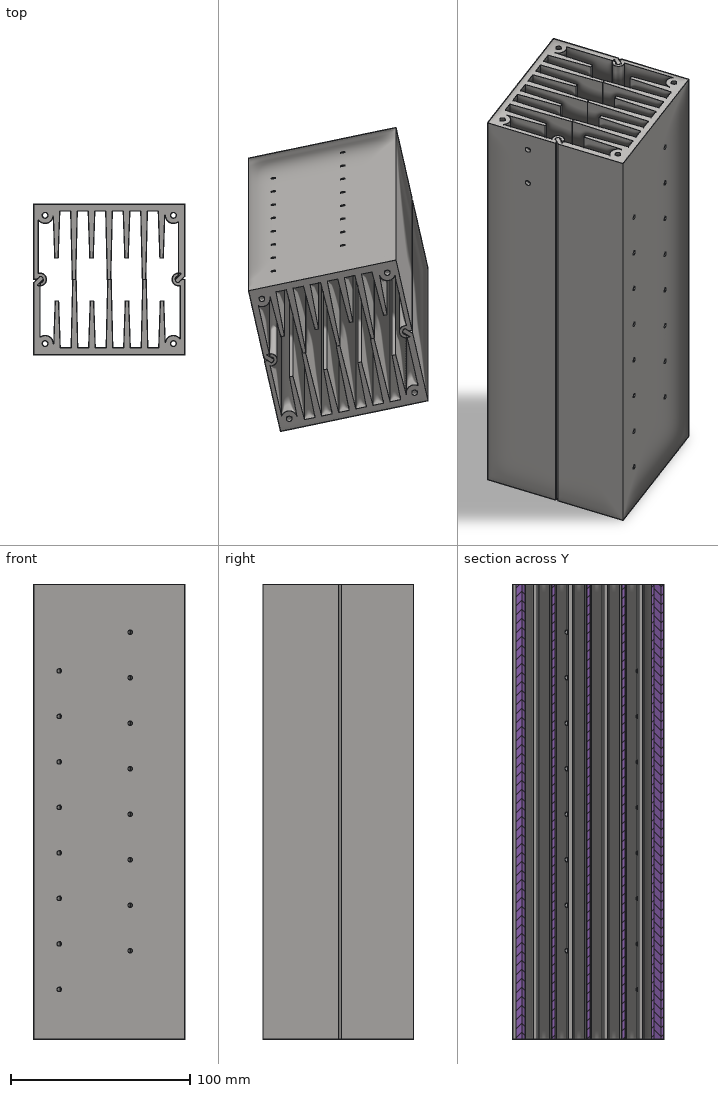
import cadquery as cq
import math

length = 254.0
width = 84.3
depth = 84.0

cavity_half_depth = 38.0
hook_wall = 2.5
tongue_wall = 3.5
outer_x = width / 2
outer_y = depth / 2

joint_x = outer_x - tongue_wall
socket_radius = 1.8
shoulder_width = 1.5
hook_radius = 3.5

fin_count = 7
fin_span = 58.7
fin_pitch = fin_span / (fin_count - 1)
fin_shift = -0.13
fin_root_width = 3.8
fin_tip_width = 1.98
short_fin_tip_y = 12.0

boss_offset = 35.8
boss_radius = 4.5
screw_hole_diameter = 3.0

front_hole_diameter = 2.46
front_hole_count = 8
front_hole_pitch = 25.5
front_row_x = (-28.0, 11.7)
front_row_middle_z = (-10.2, 11.5)

side_hole_diameter = 3.0
side_hole_y = 17.0
side_hole_depths_from_top = (10.7, 34.3)


def prism(sketch):
    """Extrude a closed XY outline over the full length, centred on Z = 0."""
    return sketch.extrude(length / 2, both=True)


def block(x_min, x_max, y_min, y_max):
    """Full-length block between the given X and Y limits."""
    centre = ((x_min + x_max) / 2, (y_min + y_max) / 2)
    return prism(cq.Workplane("XY").center(*centre).rect(x_max - x_min, y_max - y_min))


def cylinder(x, y, radius):
    """Full-length round bar along Z."""
    return prism(cq.Workplane("XY").center(x, y).circle(radius))


def channel():
    """U-shaped wall of one half: back wall and two side walls down to Y = 0."""
    outside = block(-outer_x, outer_x, 0, outer_y)
    inside = block(-outer_x + hook_wall, outer_x - tongue_wall, 0, cavity_half_depth)
    return outside.cut(inside)


def socket():
    """Cavity of the hook: round inside, flat along the slanted face of the mating tongue."""
    r = socket_radius
    outline = (
        cq.Workplane("XY")
        .center(-joint_x, 0)
        .moveTo(-r, 0)
        .lineTo(0, r)
        .threePointArc((r, 0), (0, -r))
        .close()
    )
    return prism(outline)


def hook():
    """Round hook on the left side wall, open towards the lower left."""
    bar = cylinder(-joint_x, 0, hook_radius)
    open_quarter = block(-joint_x - hook_radius, -joint_x, -hook_radius, 0)
    return bar.cut(open_quarter).intersect(block(-outer_x, 0, -outer_y, outer_y))


def tongue():
    """End of the right side wall: a shoulder, then a 45 degree tongue with a rounded tip."""
    r = socket_radius
    arc_middle = r * math.sqrt(0.5)
    outline = (
        cq.Workplane("XY")
        .center(joint_x, 0)
        .moveTo(tongue_wall, tongue_wall - r)
        .lineTo(0, -r)
        .threePointArc((-arc_middle, -arc_middle), (-r, 0))
        .lineTo(shoulder_width, shoulder_width + r)
        .lineTo(0, hook_radius)
        .lineTo(tongue_wall, hook_radius)
        .close()
    )
    return prism(outline)


def fin(x, tip_y):
    """Tapered fin from the back wall towards the parting plane."""
    outline = cq.Workplane("XY").polyline(
        [
            (x - fin_root_width / 2, cavity_half_depth),
            (x + fin_root_width / 2, cavity_half_depth),
            (x + fin_tip_width / 2, tip_y),
            (x - fin_tip_width / 2, tip_y),
        ]
    )
    return prism(outline.close())


def corner_boss(side):
    """Round screw boss in a corner, filled up to the back wall and to the outermost fin."""
    x = side * boss_offset
    fin_x = side * fin_span / 2 + fin_shift
    fill = block(min(x, fin_x), max(x, fin_x), boss_offset, outer_y)
    return cylinder(x, boss_offset, boss_radius).union(fill).intersect(
        block(-outer_x, outer_x, 0, outer_y)
    )


def half_shell():
    """One half of the case, on the +Y side, without its wall holes."""
    shell = channel().cut(block(joint_x, outer_x, 0, hook_radius)).union(tongue())
    shell = shell.union(hook()).cut(socket())
    for i in range(fin_count):
        x = fin_shift - fin_span / 2 + i * fin_pitch
        shell = shell.union(fin(x, short_fin_tip_y if i % 2 == 0 else 0))
    for side in (-1, 1):
        shell = shell.union(corner_boss(side))
        shell = shell.cut(cylinder(side * boss_offset, boss_offset, screw_hole_diameter / 2))
    return shell


def back_shell():
    """Half shell on the +Y side with two holes through its left wall."""
    points = [(side_hole_y, length / 2 - drop) for drop in side_hole_depths_from_top]
    holes = (
        cq.Workplane("YZ", origin=(-outer_x, 0, 0))
        .pushPoints(points)
        .circle(side_hole_diameter / 2)
        .extrude(hook_wall)
    )
    return half_shell().cut(holes)


def front_shell():
    """Half shell on the -Y side with two staggered rows of holes through its front wall."""
    first = -(front_hole_count - 1) / 2 * front_hole_pitch
    points = [
        (x, z + first + i * front_hole_pitch)
        for x, z in zip(front_row_x, front_row_middle_z)
        for i in range(front_hole_count)
    ]
    holes = (
        cq.Workplane("XZ", origin=(0, -cavity_half_depth, 0))
        .pushPoints(points)
        .circle(front_hole_diameter / 2)
        .extrude(outer_y - cavity_half_depth)
    )
    return half_shell().rotate((0, 0, 0), (0, 0, 1), 180).cut(holes)


back = back_shell()
front = front_shell()

result = cq.Compound.makeCompound([back.solids().val(), front.solids().val()])